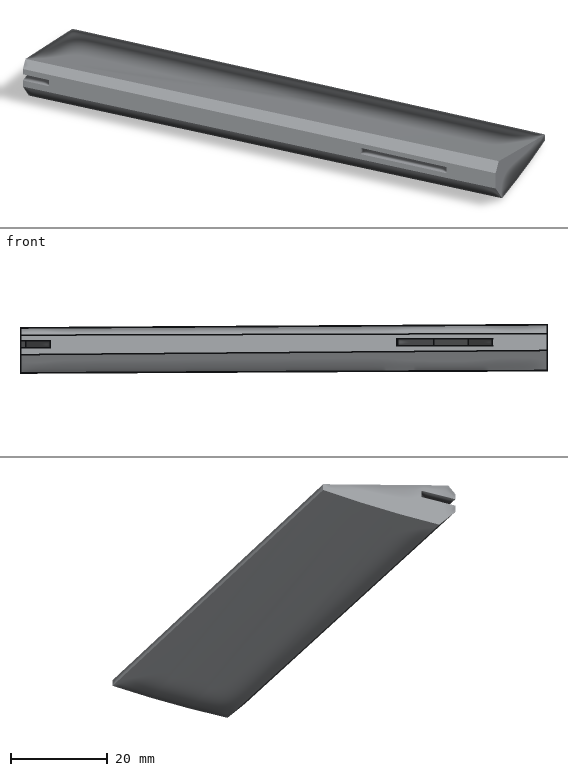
import cadquery as cq
import math

span = 109.0
sweep = 17.4
chord = 32.4
tail_bottom = 1.2
tail_top = 2.5
underside_sag = 0.3

slot_half_width = 10.0
slot_floor_half_width = 3.6
slot_lip_depth = 1.4
slot_depth = 8.2
slot_height = 1.4
slot_clearance = 1.1
hinges = [(-3.8, 5.2), (87.7, 5.7)]

sweep_angle = math.degrees(math.atan2(sweep, span))


def profile(x, face_y, face_z, upper_ridge, lower_ridge):
    """Section wire at x; ridges are (setback from the leading face, height)."""
    face_bottom, face_top = face_z
    tail_y = face_y + chord
    upper_setback, upper_z = upper_ridge
    lower_setback, lower_z = lower_ridge
    lower_y = face_y + lower_setback
    underside_middle = (
        (tail_y + lower_y) / 2,
        (tail_bottom + lower_z) / 2 - underside_sag,
    )
    return (
        cq.Workplane("YZ", origin=(x, 0, 0))
        .moveTo(lower_y, lower_z)
        .lineTo(face_y, face_bottom)
        .lineTo(face_y, face_top)
        .lineTo(face_y + upper_setback, upper_z)
        .lineTo(tail_y, tail_top)
        .lineTo(tail_y, tail_bottom)
        .threePointArc(underside_middle, (lower_y, lower_z))
        .close()
        .val()
    )


def hinge_slot(center_x, bottom_z):
    """Slot with a short straight lip that narrows to a flat floor."""
    face_y = sweep * (1 - center_x / span)
    return (
        cq.Workplane("XY")
        .polyline([
            (-slot_half_width, -slot_clearance),
            (slot_half_width, -slot_clearance),
            (slot_half_width, slot_lip_depth),
            (slot_floor_half_width, slot_depth),
            (-slot_floor_half_width, slot_depth),
            (-slot_half_width, slot_lip_depth),
        ])
        .close()
        .extrude(slot_height)
        .rotate((0, 0, 0), (0, 0, 1), -sweep_angle)
        .translate((center_x, face_y, bottom_z))
    )


root = profile(
    x=0,
    face_y=sweep,
    face_z=(3.8, 7.8),
    upper_ridge=(1.7, 9.4),
    lower_ridge=(3.9, 0),
)
tip = profile(
    x=span,
    face_y=0,
    face_z=(4.7, 8.2),
    upper_ridge=(2.1, 10.0),
    lower_ridge=(4.3, 0.5),
)

result = cq.Workplane(cq.Solid.makeLoft([root, tip], True))
for center_x, bottom_z in hinges:
    result = result.cut(hinge_slot(center_x, bottom_z))